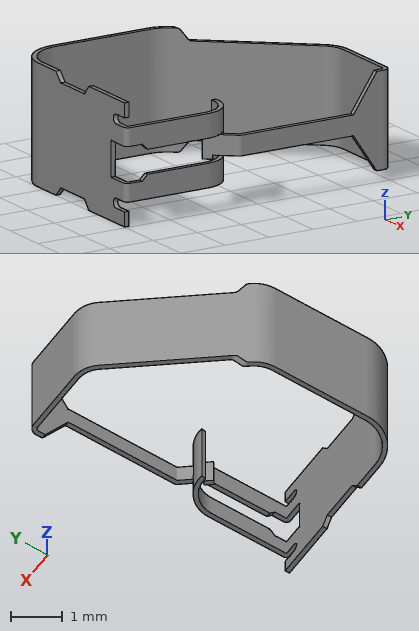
import cadquery as cq
import math

thickness = 0.1
half_sheet = thickness / 2
width = 4.1
depth = 6.0
body_height = 2.5
back_height = 2.005

left_x = half_sheet
right_x = width - half_sheet
front_y = half_sheet
back_y = depth - half_sheet
left_bend_y = 3.26
back_bend_x = 2.245
front_left_radius = 0.815
left_bend_radius = 0.685
back_left_radius = 0.59
back_right_radius = 0.12

step_start_y = 3.535
step_end_y = 3.69
step_round = 0.08

taper_start_y = 5.675
taper_end_y = 5.14
rail_height = 0.42
rail_bend_y = 2.59
rail_bend_radius = 0.07
rail_tip = (3.58, 2.035)
head_height = 0.595
head_length = 0.2

front_wall_end_x = 3.995
notch_depth = 0.19
notch_mouth = (1.5, 2.695)
notch_floor = (1.675, 2.54)

hook_height = 1.5
hook_outer_x = 4.05
hook_leg_x = hook_outer_x - half_sheet
hook_fold_radius = 0.055
hook_fold_start_x = 3.78
hook_outer_radius = 0.66
hook_radius = hook_outer_radius - half_sheet
hook_center_y = 1.855
hook_sweep = math.radians(98)
slot_width = 0.2
slot_start_x = 3.595
wall_window_start_x = 3.505
fold_window_height = 0.745
hook_window_start_x = 3.68
hook_window_height = 0.505
window_taper_start_y = 0.37
window_taper_end_y = 0.49


def rounded_path(points, radii):
    """Polyline whose inner corners are replaced by tangent arcs."""
    corners = [cq.Vector(*point) for point in points]
    edges = []
    start = corners[0]
    for i, radius in enumerate(radii, 1):
        corner = corners[i]
        back = (corners[i - 1] - corner).normalized()
        ahead = (corners[i + 1] - corner).normalized()
        half_angle = back.getAngle(ahead) / 2
        tangent_length = radius / math.tan(half_angle)
        arc_start = corner + back * tangent_length
        arc_end = corner + ahead * tangent_length
        bisector = (back + ahead).normalized()
        arc_middle = corner + bisector * (radius / math.sin(half_angle) - radius)
        edges.append(cq.Edge.makeLine(start, arc_start))
        edges.append(cq.Edge.makeThreePointArc(arc_start, arc_middle, arc_end))
        start = arc_end
    edges.append(cq.Edge.makeLine(start, corners[-1]))
    return cq.Wire.assembleEdges(edges)


def ribbon(path, height):
    """Sheet of the given height, centred on Z = 0, following a path in XY."""
    section_plane = cq.Plane(
        origin=path.startPoint(),
        xDir=(0, 0, 1),
        normal=path.tangentAt(0),
    )
    return cq.Workplane(section_plane).rect(height, thickness).sweep(cq.Workplane(path))


def block(x_start, x_end, y_start, y_end, height):
    """Box given by its X and Y limits, centred on Z = 0."""
    box = cq.Workplane("XY").box(x_end - x_start, y_end - y_start, height, centered=(False, False, True))
    return box.translate((x_start, y_start, 0))


def make_body():
    path = rounded_path(
        [
            (front_wall_end_x, front_y),
            (left_x, front_y),
            (left_x, left_bend_y),
            (back_bend_x, back_y),
            (right_x, back_y),
            (right_x, taper_start_y),
        ],
        [front_left_radius, left_bend_radius, back_left_radius, back_right_radius],
    )
    tall = body_height / 2
    low = back_height / 2
    silhouette = (
        cq.Workplane("YZ")
        .polyline([
            (0, -tall), (step_start_y, -tall), (step_end_y, -low), (depth, -low),
            (depth, low), (step_end_y, low), (step_start_y, tall), (0, tall),
        ])
        .close()
        .extrude(width)
    )
    for y in (step_start_y, step_end_y):
        step_edges = cq.selectors.BoxSelector((-0.06, y - 0.005, -tall - 0.06), (width + 0.06, y + 0.005, tall + 0.06))
        silhouette = silhouette.edges("|X").edges(step_edges).fillet(step_round)
    return ribbon(path, body_height).intersect(silhouette)


def make_edge_notches():
    edge_z = body_height / 2
    floor_z = edge_z - notch_depth
    notch = (
        cq.Workplane("XZ")
        .polyline([
            (notch_mouth[0], edge_z), (notch_floor[0], floor_z),
            (notch_floor[1], floor_z), (notch_mouth[1], edge_z),
        ])
        .close()
        .extrude(-thickness)
    )
    return notch.union(notch.mirror("XY"))


def make_taper():
    wide = back_height / 2
    narrow = rail_height / 2
    return (
        cq.Workplane("YZ", origin=(width - thickness, 0, 0))
        .polyline([
            (taper_start_y, -wide), (taper_start_y, wide),
            (taper_end_y, narrow), (taper_end_y, -narrow),
        ])
        .close()
        .extrude(thickness)
    )


def make_rail():
    bend = (right_x, rail_bend_y)
    rail = ribbon(
        rounded_path([(right_x, taper_end_y), bend, rail_tip], [rail_bend_radius]),
        rail_height,
    )
    tip = cq.Vector(*rail_tip)
    head_start = tip + (cq.Vector(*bend) - tip).normalized() * head_length
    head_path = cq.Wire.assembleEdges([cq.Edge.makeLine(head_start, tip)])
    return rail.union(ribbon(head_path, head_height))


def make_hook_window():
    """Window tall at the fold and tapering to a lower height along the leg."""
    tall = fold_window_height / 2
    low = hook_window_height / 2
    return (
        cq.Workplane("YZ", origin=(hook_window_start_x, 0, 0))
        .polyline([
            (0, -tall), (window_taper_start_y, -tall), (window_taper_end_y, -low), (depth, -low),
            (depth, low), (window_taper_end_y, low), (window_taper_start_y, tall), (0, tall),
        ])
        .close()
        .extrude(width)
    )


def make_hook():
    center_x = hook_leg_x - hook_radius

    def hook_point(angle):
        return cq.Vector(
            center_x + hook_radius * math.cos(angle),
            hook_center_y + hook_radius * math.sin(angle),
        )

    leg = rounded_path(
        [(hook_fold_start_x, front_y), (hook_leg_x, front_y), (hook_leg_x, hook_center_y)],
        [hook_fold_radius],
    )
    curl = cq.Edge.makeThreePointArc(hook_point(0), hook_point(hook_sweep / 2), hook_point(hook_sweep))
    hook = ribbon(cq.Wire.assembleEdges(leg.Edges() + [curl]), hook_height)
    return hook.cut(make_hook_window())


def make_slots():
    """Rounded relief slots just above and below the hook."""
    round_x = slot_start_x + slot_width / 2
    slot_z = (hook_height + slot_width) / 2
    straight = block(round_x, width, 0, thickness, slot_width)
    rounded = cq.Workplane("XZ").center(round_x, 0).circle(slot_width / 2).extrude(-thickness)
    slot = straight.union(rounded)
    return slot.translate((0, 0, slot_z)).union(slot.translate((0, 0, -slot_z)))


body = make_body().cut(make_edge_notches()).cut(make_slots())
body = body.cut(block(hook_fold_start_x, width, 0, thickness, hook_height))
wall_window = block(wall_window_start_x, width, 0, thickness, fold_window_height)
front_part = body.union(make_hook()).cut(wall_window)
result = front_part.union(make_taper()).union(make_rail())